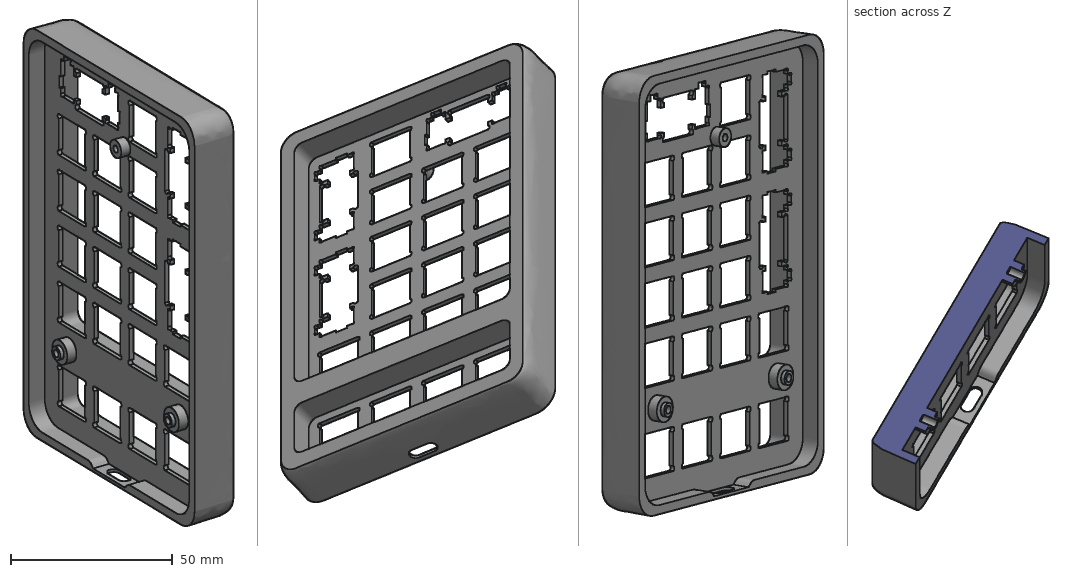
import cadquery as cq

WIDTH = 92.0
HEIGHT = 139.0
DEPTH = 16.0
CORNER_RADIUS = 7.2
WALL = 2.9

FLANK_POINTS = [(7.0, 0.08), (2.1, 0.5)]
FLANK_END_INSET = 1.8
FLANK_START_DIRECTION = (0, 1)
FLANK_END_DIRECTION = (-1, 0.5)

PLATE_FRONT = 6.0
PLATE_THICKNESS = 1.5
PLATE_BACK = PLATE_FRONT + PLATE_THICKNESS

PITCH = 19.0
GRID_SHIFT = 0.3
OUTER_ROW_OFFSET = 2.75 * PITCH
COLUMNS = [(i - 1.5) * PITCH for i in range(4)]
ROWS = [GRID_SHIFT + OUTER_ROW_OFFSET - i * PITCH for i in range(5)]
BOTTOM_ROW = GRID_SHIFT - OUTER_ROW_OFFSET

SWITCH_SIZE = 14.0
SWITCH_RELIEF_REACH = 7.6
SWITCH_RELIEF_RADIUS = 0.8

STAB_OFFSET = 12.0
STAB_WIDTH = 6.8
STAB_TOP = SWITCH_SIZE / 2
STAB_BOTTOM = -5.4
STAB_RELIEF_RADIUS = 0.5
TAB_WIDTH = 3.5
TAB_TOP = 8.8
NOTCH_REACH = 16.1
NOTCH_TOP = 1.1
NOTCH_BOTTOM = -2.9
PASSAGE_HALF_HEIGHT = 4.0

OPENING_SIDE_MARGIN = 1.4
OPENING_END_MARGIN = 0.4
OPENING_WIDTH = len(COLUMNS) * PITCH + 2 * OPENING_SIDE_MARGIN
OPENING_RADIUS = 3.0

TOP_BOSS_CENTRE = (0, ROWS[0] - PITCH / 2)
TOP_BOSS_DIAMETER = 6.0
TOP_BOSS_HOLE = 2.4
LOW_BOSS_X = 30.0
LOW_BOSS_Z = -37.7
LOW_BOSS_DIAMETER = 8.0
PIN_DIAMETER = 4.5
PIN_HEIGHT = 1.4
PIN_HOLE = 2.5
BOSS_HEIGHT = 3.5
BOSS_FRONT = PLATE_FRONT - BOSS_HEIGHT

RECESS_FLOOR_HALF_WIDTH = 8.5
RECESS_DEPTH = 1.8
RECESS_BLEND_RADIUS = 3.0
SLOT_LENGTH = 9.7
SLOT_WIDTH = 4.2
SLOT_Y = 3.8


def plane_at(y):
    """Workplane with X to the right and Z up; a negative extrusion goes towards the key side."""
    return cq.Workplane("XZ", origin=(0, y, 0))


def rounded_block(width, height, radius, y0, y1):
    return plane_at(y0).rect(width, height).extrude(y0 - y1).edges("|Y").fillet(radius)


def cylinder(centre, diameter, y0, y1):
    return plane_at(y0).center(*centre).circle(diameter / 2).extrude(y0 - y1)


def plate_box(x0, x1, z0, z1):
    centre_plane = plane_at(PLATE_FRONT).center((x0 + x1) / 2, (z0 + z1) / 2)
    return centre_plane.rect(x1 - x0, z1 - z0).extrude(-PLATE_THICKNESS)


def plate_hole(x, z, radius):
    return cylinder((x, z), 2 * radius, PLATE_FRONT, PLATE_BACK)


def case_body():
    """Solid case with curved flanks, hollowed from the open face down to the plate."""
    spare = 1.4
    blank = rounded_block(WIDTH + 2 * spare, HEIGHT + 2 * spare, CORNER_RADIUS + spare, 0, DEPTH)
    outline = rounded_block(WIDTH, HEIGHT, CORNER_RADIUS, 0, DEPTH).faces("<Y").wires().val()
    side = WIDTH / 2
    flank = [(side, 0)]
    flank += [(side - inset, DEPTH - distance) for distance, inset in FLANK_POINTS]
    flank += [(side - FLANK_END_INSET, DEPTH)]
    trimming = (
        cq.Workplane("XY")
        .spline(flank, tangents=[FLANK_START_DIRECTION, FLANK_END_DIRECTION])
        .lineTo(side + 2 * spare, DEPTH)
        .lineTo(side + 2 * spare, 0)
        .close()
        .sweep(cq.Workplane(outline))
    )
    cavity = rounded_block(WIDTH - 2 * WALL, HEIGHT - 2 * WALL, CORNER_RADIUS, 0, PLATE_FRONT)
    return blank.cut(trimming).cut(cavity)


def key_opening(first_row, last_row):
    """Rounded opening behind the plate that frames the rows from first_row down to last_row."""
    height = first_row - last_row + PITCH + 2 * OPENING_END_MARGIN
    opening = rounded_block(OPENING_WIDTH, height, OPENING_RADIUS, PLATE_BACK, DEPTH)
    return opening.translate((0, 0, (first_row + last_row) / 2))


def switch_cutout():
    half = SWITCH_SIZE / 2
    relief_x = SWITCH_RELIEF_REACH - SWITCH_RELIEF_RADIUS
    relief_z = half - SWITCH_RELIEF_RADIUS
    cutout = plate_box(-half, half, -half, half)
    for x in (-relief_x, relief_x):
        for z in (-relief_z, relief_z):
            cutout = cutout.union(plate_hole(x, z, SWITCH_RELIEF_RADIUS))
    return cutout


def relieved_box(x0, x1, z0, z1, relieved_levels):
    """Box whose corners at the given Z levels get a round relief passing through the corner."""
    inset = STAB_RELIEF_RADIUS * 0.5 ** 0.5
    cutout = plate_box(x0, x1, z0, z1)
    for level in relieved_levels:
        z = level - inset if level == z1 else level + inset
        for x in (x0 + inset, x1 - inset):
            cutout = cutout.union(plate_hole(x, z, STAB_RELIEF_RADIUS))
    return cutout


def wide_key_cutout():
    """Switch cutout joined to a stabiliser cutout on its left and right."""
    half_stab = STAB_WIDTH / 2
    half_tab = TAB_WIDTH / 2
    cutout = switch_cutout()
    cutout = cutout.union(plate_box(-STAB_OFFSET, STAB_OFFSET, -PASSAGE_HALF_HEIGHT, PASSAGE_HALF_HEIGHT))
    cutout = cutout.union(plate_box(-NOTCH_REACH, NOTCH_REACH, NOTCH_BOTTOM, NOTCH_TOP))
    for x in (-STAB_OFFSET, STAB_OFFSET):
        levels = (STAB_BOTTOM, STAB_TOP)
        cutout = cutout.union(relieved_box(x - half_stab, x + half_stab, STAB_BOTTOM, STAB_TOP, levels))
        cutout = cutout.union(relieved_box(x - half_tab, x + half_tab, 0, TAB_TOP, (TAB_TOP,)))
    return cutout


def connector_recess():
    """Trapezoidal recess in the bottom wall; 45-degree ends blend into the inner wall surface."""
    wall_z = WALL - HEIGHT / 2
    floor_z = wall_z - RECESS_DEPTH
    top = RECESS_FLOOR_HALF_WIDTH + RECESS_DEPTH
    lip = top + RECESS_BLEND_RADIUS
    above = wall_z + RECESS_BLEND_RADIUS
    right = [(RECESS_FLOOR_HALF_WIDTH, floor_z), (top, wall_z), (lip, wall_z), (lip, above)]
    left = [(-x, z) for x, z in reversed(right)]
    block = plane_at(0).polyline(right + left).close().extrude(-PLATE_FRONT)
    for x in (-top, top):
        block = block.edges(cq.selectors.NearestToPointSelector((x, PLATE_FRONT / 2, wall_z)))
        block = block.fillet(RECESS_BLEND_RADIUS)
    return block


def connector_slot():
    """Slot through the bottom wall, started well below the case."""
    base = cq.Workplane("XY", origin=(0, SLOT_Y, -HEIGHT))
    return base.slot2D(SLOT_LENGTH, SLOT_WIDTH).extrude(HEIGHT / 2 + WALL)


result = case_body()
result = result.cut(key_opening(ROWS[0], ROWS[-1]))
result = result.cut(key_opening(BOTTOM_ROW, BOTTOM_ROW))

single_keys = [(COLUMNS[2], ROWS[0])]
single_keys += [(x, z) for x in COLUMNS[:3] for z in ROWS[1:]]
single_keys += [(COLUMNS[3], ROWS[4])]
single_keys += [(x, BOTTOM_ROW) for x in COLUMNS]
single_cutout = switch_cutout()
for x, z in single_keys:
    result = result.cut(single_cutout.translate((x, 0, z)))

lying_cutout = wide_key_cutout()
standing_cutout = lying_cutout.rotate((0, 0, 0), (0, 1, 0), 90)
result = result.cut(lying_cutout.translate(((COLUMNS[0] + COLUMNS[1]) / 2, 0, ROWS[0])))
for upper_row in (ROWS[0], ROWS[2]):
    result = result.cut(standing_cutout.translate((COLUMNS[3], 0, upper_row - PITCH / 2)))

result = result.union(cylinder(TOP_BOSS_CENTRE, TOP_BOSS_DIAMETER, BOSS_FRONT, PLATE_BACK))
result = result.cut(cylinder(TOP_BOSS_CENTRE, TOP_BOSS_HOLE, BOSS_FRONT, PLATE_FRONT))

for x in (-LOW_BOSS_X, LOW_BOSS_X):
    centre = (x, LOW_BOSS_Z)
    pin_front = BOSS_FRONT - PIN_HEIGHT
    result = result.union(cylinder(centre, LOW_BOSS_DIAMETER, BOSS_FRONT, PLATE_FRONT))
    result = result.union(cylinder(centre, PIN_DIAMETER, pin_front, BOSS_FRONT))
    result = result.cut(cylinder(centre, PIN_HOLE, pin_front, PLATE_FRONT))

result = result.cut(connector_recess())
result = result.cut(connector_slot())